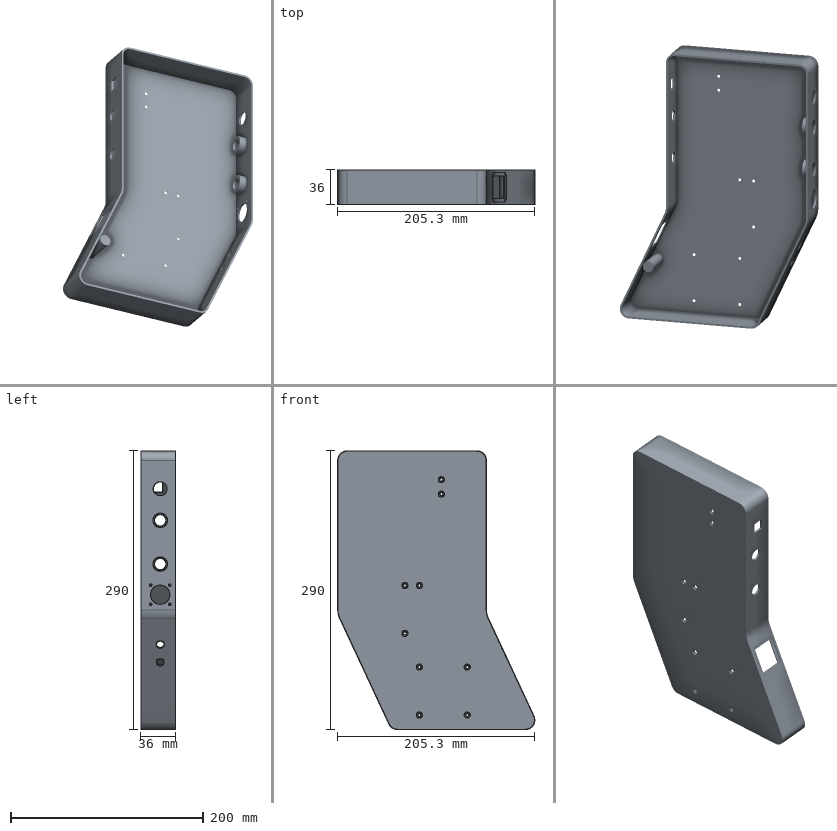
import cadquery as cq
import math

height = 290.0
depth = 36.0
top_width = 155.0
bend_height = 120.0
lean_angle = 25.0
wall = 2.0
corner_radius = 10.0
bend_radius = 20.0
lean_shift = bend_height * math.tan(math.radians(lean_angle))

through = 2 * wall

port_y = 16.0
cable_hole_diameter = 14.2
cable_hole_z = 250.5
tube_bore = 12.0
tube_outer = 19.0
tube_counterbore = 15.0
tube_length = 10.0
tube_counterbore_depth = 3.5
tube_z = (217.8, 172.3)
fan_hole_diameter = 20.0
fan_z = 140.5
fan_screw_pitch = 20.0
fan_screw_diameter = 2.5

window_size = 12.0
window_low_y = 13.3
window_low_z = 247.0

slope_hole_diameter = 8.0
slope_hole_distances = (35.0, 55.5)

socket_distance = 32.2
socket_length = 34.8
socket_width = 31.0
socket_ledge = 3.8
socket_recess = 1.0

post_x = 174.3
post_z = 57.7
post_radius = 5.8

screw_diameter = 3.2
screw_head_diameter = 6.5
screw_head_angle = 90.0
short_pitch = 15.0
long_pitch = 50.0
square_x, square_z = 85.0, 15.0
triple_x, triple_z = 70.0, 100.0
pair_x, pair_z = 108.0, 245.0


def front_workplane():
    """XZ workplane whose normal points to the back (+Y); local x is X, local y is -Z."""
    return cq.Workplane(cq.Plane(origin=(0, 0, 0), xDir=(1, 0, 0), normal=(0, 1, 0)))


def body():
    outline = [
        (lean_shift, 0),
        (lean_shift + top_width, 0),
        (top_width, -bend_height),
        (top_width, -height),
        (0, -height),
        (0, -bend_height),
    ]
    block = front_workplane().polyline(outline).close().extrude(depth)
    bends = cq.selectors.BoxSelector(
        (-wall, -wall, bend_height - wall), (top_width + wall, depth + wall, bend_height + wall)
    )
    block = block.edges("|Y").edges(bends).fillet(bend_radius)
    for level in ("<Z", ">Z"):
        block = block.faces(level).edges("|Y").fillet(corner_radius)
    return block


def x_cylinder(diameter, y, z, length):
    """Cylinder along X that starts on the left face."""
    plane = cq.Plane(origin=(0, y, z), xDir=(0, 1, 0), normal=(1, 0, 0))
    return cq.Workplane(plane).circle(diameter / 2).extrude(length)


def slope_plane(bend_x, distance, y):
    """Plane on a leaning wall: local x runs down the slope, the normal points to -X and -Z.

    The normal leaves the left wall and enters the right wall.
    """
    angle = math.radians(lean_angle)
    down = (math.sin(angle), 0, -math.cos(angle))
    origin = (bend_x + distance * down[0], y, bend_height + distance * down[2])
    return cq.Plane(origin=origin, xDir=down, normal=(-math.cos(angle), 0, -math.sin(angle)))


def shell():
    """Tray with walls all round, closed by the front plate and open at the back."""
    return body().faces(">Y").shell(-wall, kind="intersection")


def screw_positions():
    square = [
        (square_x + i * long_pitch, square_z + j * long_pitch) for i in (0, 1) for j in (0, 1)
    ]
    triple = [
        (triple_x, triple_z),
        (triple_x, triple_z + long_pitch),
        (triple_x + short_pitch, triple_z + long_pitch),
    ]
    pair = [(pair_x, pair_z), (pair_x, pair_z + short_pitch)]
    return square + triple + pair


def add_tubes(part):
    """Two short counterbored tubes on the left wall, with matching holes in the right wall."""
    for z in tube_z:
        part = part.union(x_cylinder(tube_outer, port_y, z, tube_length))
        part = part.cut(x_cylinder(tube_bore, port_y, z, top_width))
        part = part.cut(x_cylinder(tube_counterbore, port_y, z, tube_counterbore_depth))
    return part


def cut_left_wall(part):
    part = part.cut(x_cylinder(cable_hole_diameter, port_y, cable_hole_z, through))
    part = part.cut(x_cylinder(fan_hole_diameter, port_y, fan_z, through))
    for side in (-0.5, 0.5):
        for level in (-0.5, 0.5):
            y = port_y + side * fan_screw_pitch
            z = fan_z + level * fan_screw_pitch
            part = part.cut(x_cylinder(fan_screw_diameter, y, z, through))
    for distance in slope_hole_distances:
        plane = slope_plane(0, distance, port_y)
        hole = cq.Workplane(plane).circle(slope_hole_diameter / 2).extrude(-through)
        part = part.cut(hole)
    return part


def cut_window(part):
    window = cq.Workplane("XY").box(through, window_size, window_size, centered=False)
    return part.cut(window.translate((top_width - through, window_low_y, window_low_z)))


def cut_socket(part):
    """Shallow recess with cut corners and a smaller rectangular opening through the wall."""
    plane = slope_plane(top_width, socket_distance, depth / 2)
    recess = cq.Workplane(plane).rect(socket_length, socket_width).extrude(socket_recess)
    recess = recess.edges(cq.ParallelDirSelector(plane.zDir)).chamfer(socket_ledge)
    opening_length = socket_length - 2 * socket_ledge
    opening_width = socket_width - 2 * socket_ledge
    opening = cq.Workplane(plane).rect(opening_length, opening_width).extrude(through)
    return part.cut(recess).cut(opening)


def add_post(part):
    post = front_workplane().center(post_x, -post_z).circle(post_radius).extrude(depth)
    return part.union(post)


def cut_screw_holes(part):
    """Through holes in the front plate, countersunk from the front face."""
    head_overhang = (screw_head_diameter - screw_diameter) / 2
    head_depth = head_overhang / math.tan(math.radians(screw_head_angle / 2))
    for x, z in screw_positions():
        centre = front_workplane().center(x, -z)
        head = centre.circle(screw_head_diameter / 2)
        head = head.workplane(offset=head_depth).circle(screw_diameter / 2).loft()
        shank = front_workplane().center(x, -z).circle(screw_diameter / 2).extrude(through)
        part = part.cut(head).cut(shank)
    return part


part = shell()
part = add_tubes(part)
part = add_post(part)
part = cut_left_wall(part)
part = cut_window(part)
part = cut_socket(part)
result = cut_screw_holes(part)